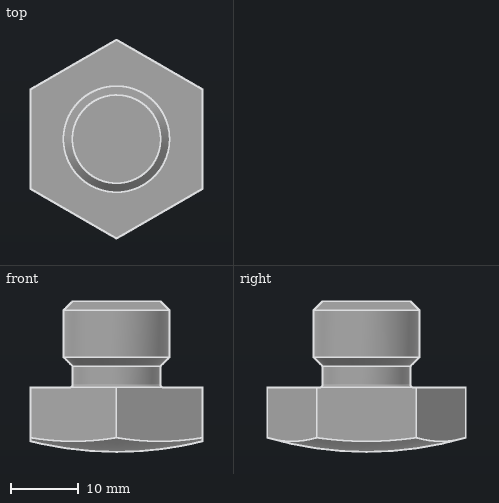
import cadquery as cq
import math

across_corners = 29.33
head_height = 9.53
dome_radius = 51.9

shank_length = 12.7
shank_radius = 7.83
neck_radius = 6.5
neck_length = 3.15
neck_fillet = 0.35
chamfer = shank_radius - neck_radius


def make_head():
    """Hexagonal prism with corners on the Y axis, cut to a spherical underside."""
    prism = (
        cq.Workplane("XY")
        .polygon(6, across_corners)
        .extrude(-head_height)
        .rotate((0, 0, 0), (0, 0, 1), 90)
    )
    dome_center_z = dome_radius - head_height
    dome = cq.Workplane("XY").sphere(dome_radius).translate((0, 0, dome_center_z))
    return prism.intersect(dome)


def make_shank():
    """Revolved neck and shank, with a concave fillet where the neck meets the head."""
    arc_offset = neck_fillet * (1 - math.sqrt(0.5))
    return (
        cq.Workplane("XZ")
        .lineTo(neck_radius + neck_fillet, 0)
        .threePointArc(
            (neck_radius + arc_offset, arc_offset),
            (neck_radius, neck_fillet),
        )
        .lineTo(neck_radius, neck_length)
        .lineTo(shank_radius, neck_length + chamfer)
        .lineTo(shank_radius, shank_length - chamfer)
        .lineTo(shank_radius - chamfer, shank_length)
        .lineTo(0, shank_length)
        .close()
        .revolve(360, (0, 0, 0), (0, 1, 0))
    )


result = make_head().union(make_shank())